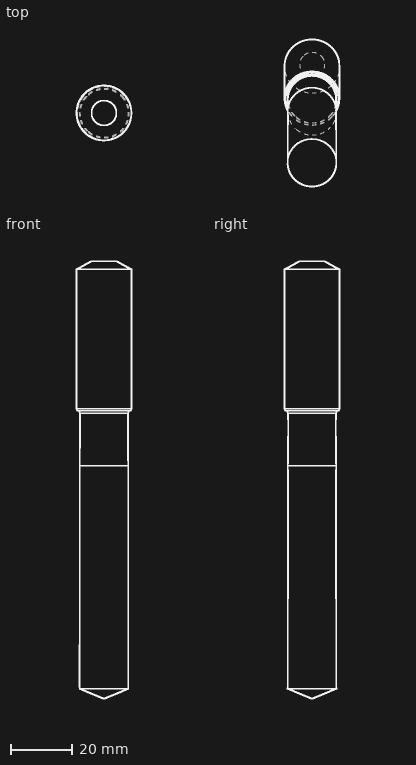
import cadquery as cq

total_height = 143.0

grip_diameter = 18.0
grip_bottom = 94.1
grip_top_diameter = 8.2
grip_top_cone_height = 2.7
grip_bottom_chamfer_height = 0.7
grip_bottom_chamfer_width = 0.3

collar_diameter = 16.3
collar_height = 0.9
neck_diameter = 15.7

joint_height = 76.2
joint_diameter = 15.9

rod_diameter = 16.0
tip_height = 3.3

grip_radius = grip_diameter / 2
joint_radius = joint_diameter / 2


def revolve_profile(points):
    """Turn a closed (radius, height) outline about the Z axis."""
    return cq.Workplane("XZ").polyline(points).close().revolve(360, (0, 0), (0, 1))


def make_grip():
    """Upper body: neck, conical collar, chamfered cylinder and conical top."""
    return revolve_profile([
        (0, joint_height),
        (joint_radius, joint_height),
        (neck_diameter / 2, grip_bottom - collar_height),
        (collar_diameter / 2, grip_bottom),
        (grip_radius - grip_bottom_chamfer_width, grip_bottom),
        (grip_radius, grip_bottom + grip_bottom_chamfer_height),
        (grip_radius, total_height - grip_top_cone_height),
        (grip_top_diameter / 2, total_height),
        (0, total_height),
    ])


def make_rod():
    """Lower body: slightly tapered rod with a conical tip, meeting the neck end to end."""
    return revolve_profile([
        (0, 0),
        (rod_diameter / 2, tip_height),
        (joint_radius, joint_height),
        (0, joint_height),
    ])


grip = make_grip()
rod = make_rod()

result = cq.Compound.makeCompound([grip.val(), rod.val()])